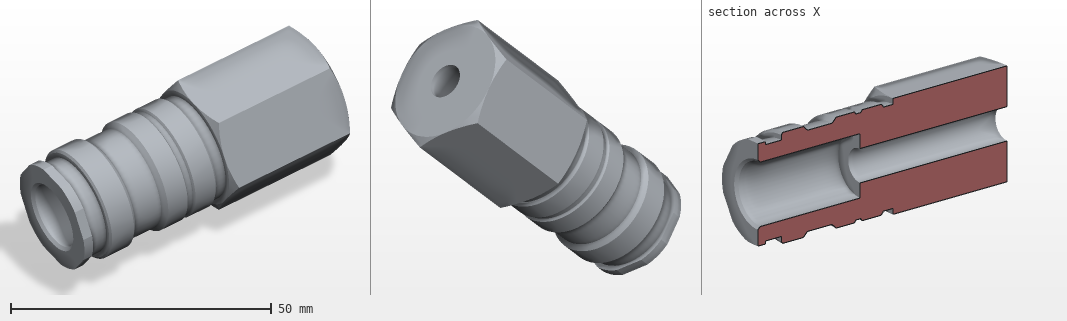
import cadquery as cq
import math

total_length = 61.0
front_y = -total_length / 2

hex_across_flats = 24.0
hex_length = 28.0
hex_across_corners = hex_across_flats / math.cos(math.radians(30))
hex_chamfer_angle = 30.0
hex_chamfer_depth = (hex_across_corners - hex_across_flats) / 2 * math.tan(math.radians(hex_chamfer_angle))

collar_radius = 11.0
collar_flat_distance = 10.6
collar_length = 2.0

neck_radius = 10.0
ring_radius = 11.5
ring_edge_radius = 11.0
waist_radius = 10.5
groove_radius = 11.0
shank_radius = 10.8

sleeve_end = total_length - hex_length
front_ring = (5.75, 12.2)
middle_ring = (18.2, 24.05)
rear_ring = (25.2, 30.7)
edge_bevel = 0.35
rear_bevel = ring_radius - ring_edge_radius
waist_bevel = ring_radius - waist_radius

socket_radius = 6.6
socket_depth = 25.0
socket_chamfer = 0.6
passage_radius = 3.5


def cylinder(radius, start, length):
    """Cylinder along +Y that starts at the given distance from the plug face."""
    origin = cq.Vector(0, front_y + start, 0)
    return cq.Workplane(cq.Solid.makeCylinder(radius, length, origin, cq.Vector(0, 1, 0)))


def revolve_profile(points):
    """Revolve (radius, distance from the plug face) points about the Y axis."""
    placed = [(radius, front_y + distance) for radius, distance in points]
    return cq.Workplane("XY").polyline(placed).close().revolve(360, (0, 0, 0), (0, 1, 0))


def hex_prism(across_flats, start, length):
    """Hexagonal prism along +Y with two flats facing +Z and -Z."""
    across_corners = across_flats / math.cos(math.radians(30))
    plane = cq.Plane(origin=(0, front_y + start, 0), xDir=(1, 0, 0), normal=(0, 1, 0))
    return cq.Workplane(plane).polygon(6, across_corners).extrude(length)


def make_hexagon():
    """Hexagon whose corners are turned down by a cone at each end."""
    inner = hex_across_flats / 2
    outer = hex_across_corners / 2
    turned_blank = revolve_profile([
        (0, sleeve_end),
        (inner, sleeve_end),
        (outer, sleeve_end + hex_chamfer_depth),
        (outer, total_length - hex_chamfer_depth),
        (inner, total_length),
        (0, total_length),
    ])
    return hex_prism(hex_across_flats, sleeve_end, hex_length).intersect(turned_blank)


def make_collar():
    """Round collar with six flats in line with the hexagon."""
    return cylinder(collar_radius, 0, collar_length).intersect(
        hex_prism(2 * collar_flat_distance, 0, collar_length)
    )


def make_sleeve():
    """Neck, three bevelled rings, waist, groove and shank as one turned body."""
    return revolve_profile([
        (0, collar_length),
        (neck_radius, collar_length),
        (neck_radius, front_ring[0]),
        (ring_edge_radius, front_ring[0]),
        (ring_radius, front_ring[0] + edge_bevel),
        (ring_radius, front_ring[1] - waist_bevel),
        (waist_radius, front_ring[1]),
        (waist_radius, middle_ring[0]),
        (ring_radius, middle_ring[0] + waist_bevel),
        (ring_radius, middle_ring[1] - edge_bevel),
        (groove_radius, middle_ring[1]),
        (groove_radius, rear_ring[0]),
        (ring_radius, rear_ring[0] + edge_bevel),
        (ring_radius, rear_ring[1] - rear_bevel),
        (ring_edge_radius, rear_ring[1]),
        (shank_radius, rear_ring[1]),
        (shank_radius, sleeve_end),
        (0, sleeve_end),
    ])


def make_bore():
    """Chamfered socket in the plug face, followed by a passage right through."""
    socket = revolve_profile([
        (0, 0),
        (socket_radius + socket_chamfer, 0),
        (socket_radius, socket_chamfer),
        (socket_radius, socket_depth),
        (0, socket_depth),
    ])
    return socket.union(cylinder(passage_radius, 0, total_length))


result = make_hexagon().union(make_sleeve()).union(make_collar()).cut(make_bore())